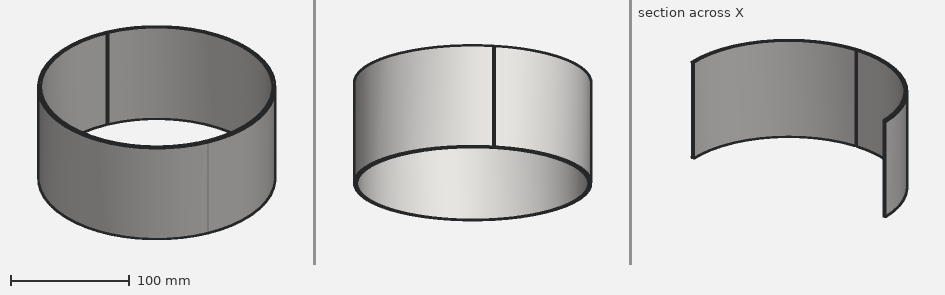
import cadquery as cq

outer_diameter = 200.0
wall = 2.5
height = 90.0
slit_width = 1.5
edge_chamfer = 0.5

outer_radius = outer_diameter / 2
inner_radius = outer_radius - wall

ring = (
    cq.Workplane("XY")
    .circle(outer_radius)
    .extrude(height)
    .faces("<Z or >Z")
    .edges()
    .chamfer(edge_chamfer)
    .faces(">Z")
    .workplane()
    .hole(2 * inner_radius)
)

slit_depth = 4 * wall
slit = cq.Workplane("XY").box(slit_depth, slit_width, height, centered=(True, False, False))
slit = slit.translate((-outer_radius, 0, 0))

result = ring.cut(slit)